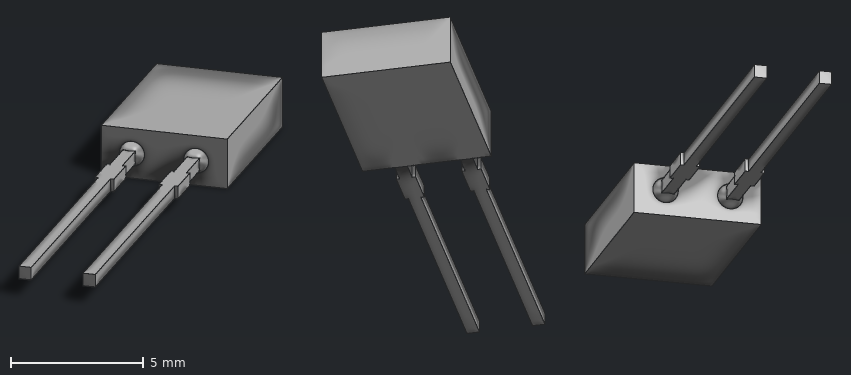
import cadquery as cq

body_width = 5.0
body_height = 2.0
total_length = 20.5
body_length = 7.0

lead_pitch = 2.55
lead_width = 0.5
lead_thickness = 0.51
lead_length = total_length - body_length

shoulder_width = 0.75
shoulder_start = 2.0
shoulder_length = 1.5

bead_radius = 0.5


def bar_toward_front(x, width, start, length):
    """Bar of lead thickness that begins a given distance in front of the body."""
    center_y = -start - length / 2
    return cq.Workplane("XY").box(width, length, lead_thickness).translate((x, center_y, 0))


def make_lead(x):
    """Straight lead with its shoulder and bead."""
    lead = bar_toward_front(x, lead_width, 0, lead_length)
    shoulder = bar_toward_front(x, shoulder_width, shoulder_start, shoulder_length)
    bead = cq.Workplane("XY").sphere(bead_radius).translate((x, 0, 0))
    return lead.union(shoulder).union(bead)


result = cq.Workplane("XY").box(body_width, body_length, body_height).translate((0, body_length / 2, 0))
for side in (-1, 1):
    result = result.union(make_lead(side * lead_pitch / 2))